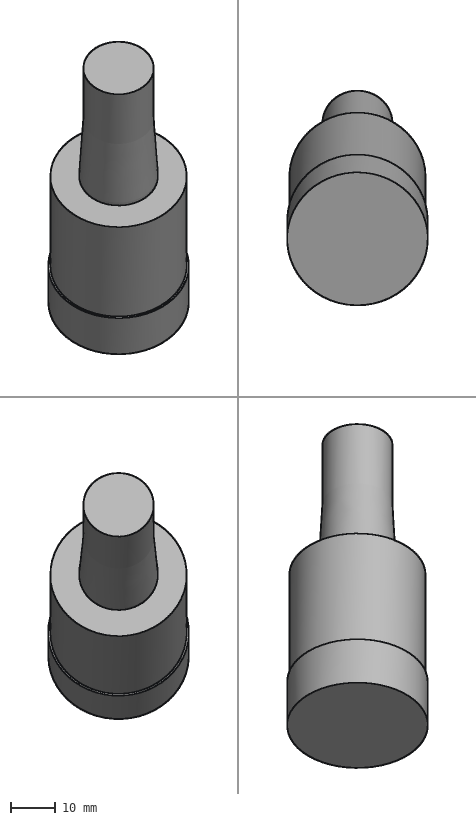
import cadquery as cq

base_diameter = 32.0
body_diameter = 31.0
taper_diameter = 17.9
tip_diameter = 16.0

base_length = 12.4
body_length = 30.6
collar_length = 1.0
taper_length = 19.0
tip_length = 17.0

body_top = base_length + body_length
collar_top = body_top + collar_length
taper_top = collar_top + taper_length
overall_height = taper_top + tip_length


def stepped_pin():
    """Revolve the half profile of the pin about the Z axis."""
    profile = (
        cq.Workplane("XZ")
        .moveTo(0, 0)
        .lineTo(base_diameter / 2, 0)
        .lineTo(base_diameter / 2, base_length)
        .lineTo(body_diameter / 2, base_length)
        .lineTo(body_diameter / 2, body_top)
        .lineTo(taper_diameter / 2, body_top)
        .lineTo(taper_diameter / 2, collar_top)
        .lineTo(tip_diameter / 2, taper_top)
        .lineTo(tip_diameter / 2, overall_height)
        .lineTo(0, overall_height)
        .close()
    )
    return profile.revolve(360, (0, 0, 0), (0, 1, 0))


result = stepped_pin()